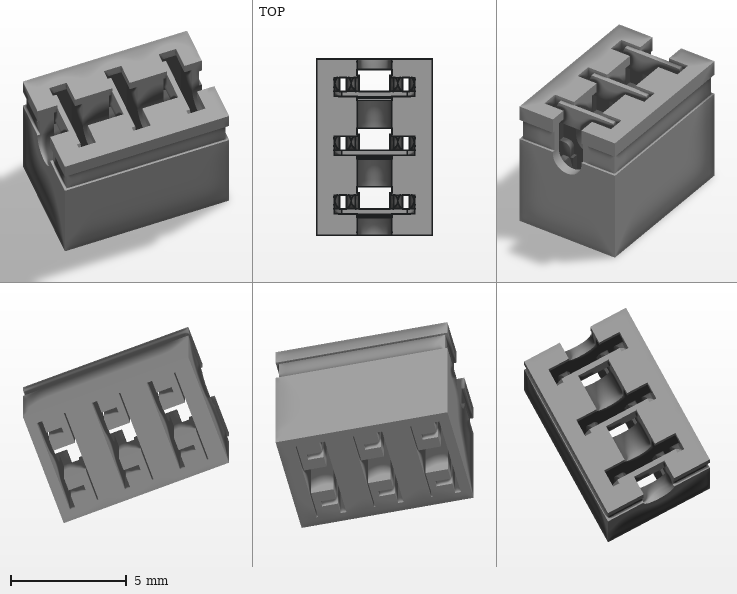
import cadquery as cq

width = 5.0
length = 7.62
height = 5.98
base_height = 4.28
flange_height = 0.7
neck_inset_x = 0.1
neck_inset_y = 0.12

slot_width = 1.49
slot_axis_z = 4.18

contact_count = 3
contact_pitch = 2.54
first_plate_back_y = 1.14

mouth_width = 3.49
mouth_front = -0.21
mouth_back = 0.595
lip_thickness = 0.45
cavity_front = -0.37
cavity_back = 0.945

fork_spacing = 2.72
fork_width = 1.395
fork_gap = 0.29
fork_depth = 0.69
contact_width = fork_spacing + fork_width
contact_clear_width = fork_spacing - fork_width

tip_z = 3.37
tip_offset = 0.35
shoulder_z = 3.215
shoulder_offset = 0.53
tine_side_z = 2.67
lead_in_depth = 0.46
crown_depth = 0.46

plate_top_z = 5.81
plate_top_width = 2.85
plate_taper_height = 1.525
plate_top_thickness = 0.23
plate_thickness = 0.305
bridge_bottom_z = 4.81

leg_top_z = 3.86
leg_spacing = 1.6
leg_corner_radius = 0.305
ledge_z = 3.19


def block(size_x, y_min, y_max, z_min, z_max):
    """Box centred on X = 0 between the given Y and Z limits."""
    size = (size_x, y_max - y_min, z_max - z_min)
    return cq.Workplane("XY", origin=(0, y_min, z_min)).box(*size, centered=(True, False, False))


def make_housing_body():
    flange_z = height - flange_height
    base = block(width, 0, length, 0, base_height)
    neck = block(width - 2 * neck_inset_x, neck_inset_y, length - neck_inset_y, base_height, flange_z)
    flange = block(width, 0, length, flange_z, height)
    return base.union(neck).union(flange)


def make_wire_slot():
    channel = block(slot_width, 0, length, slot_axis_z, height)
    floor = cq.Workplane("XZ", origin=(0, 0, slot_axis_z)).circle(slot_width / 2).extrude(-length)
    return channel.union(floor)


def make_contact_opening():
    """Narrow mouth through the top lip, over a larger cavity open at the bottom."""
    mouth = block(mouth_width, mouth_front, mouth_back, 0, height)
    cavity = block(contact_width, cavity_front, cavity_back, 0, height - lip_thickness)
    return mouth.union(cavity)


def make_plate():
    """Plate with a sloping front face, tapered upper ends and an opening under its bridge."""
    half_width = contact_width / 2
    outline = (
        cq.Workplane("XZ")
        .polyline([
            (-half_width, 0),
            (half_width, 0),
            (half_width, plate_top_z - plate_taper_height),
            (plate_top_width / 2, plate_top_z),
            (-plate_top_width / 2, plate_top_z),
            (-half_width, plate_top_z - plate_taper_height),
        ])
        .close()
        .extrude(plate_thickness)
    )
    section = (
        cq.Workplane("YZ")
        .polyline([
            (0, 0),
            (0, plate_top_z),
            (-plate_top_thickness, plate_top_z),
            (-plate_thickness, bridge_bottom_z),
            (-plate_thickness, 0),
        ])
        .close()
        .extrude(half_width, both=True)
    )
    wire_window = block(fork_spacing, -plate_thickness, 0, leg_top_z, bridge_bottom_z)
    leg_gap = block(leg_spacing, -plate_thickness, 0, ledge_z, leg_top_z)
    bottom_gap = block(contact_clear_width, -plate_thickness, 0, 0, ledge_z)
    return outline.intersect(section).cut(wire_window).cut(leg_gap).cut(bottom_gap)


def make_tine():
    """Right-hand tine of a fork: rounded towards the gap, sloped outside, crowned along Y."""
    gap_x = fork_gap / 2
    side_x = fork_width / 2
    profile = (
        cq.Workplane("XZ")
        .moveTo(gap_x, 0)
        .lineTo(gap_x, tip_z - lead_in_depth)
        .tangentArcPoint((tip_offset, tip_z), relative=False)
        .lineTo(shoulder_offset, shoulder_z)
        .lineTo(side_x, tine_side_z)
        .lineTo(side_x, 0)
        .close()
        .extrude(-fork_depth)
    )
    crown = (
        cq.Workplane("YZ")
        .lineTo(0, tip_z - crown_depth)
        .threePointArc((fork_depth / 2, tip_z), (fork_depth, tip_z - crown_depth))
        .lineTo(fork_depth, 0)
        .close()
        .extrude(side_x)
    )
    return profile.intersect(crown)


def round_leg_corners(plate):
    """Round the leg tops where they face the wire."""
    margin = 0.08
    half_size = (leg_spacing / 2 + margin, plate_thickness + margin, margin)
    corners = cq.selectors.BoxSelector(
        (-half_size[0], -half_size[1], leg_top_z - half_size[2]),
        (half_size[0], half_size[1], leg_top_z + half_size[2]),
    )
    return plate.edges("|Y").edges(corners).fillet(leg_corner_radius)


def make_contact():
    contact = round_leg_corners(make_plate())
    right_tine = make_tine()
    left_tine = right_tine.mirror("YZ")
    for fork_x in (-fork_spacing / 2, fork_spacing / 2):
        for tine in (left_tine, right_tine):
            contact = contact.union(tine.translate((fork_x, 0, 0)))
    return contact


def make_housing(contacts, plate_positions):
    """Housing with the wire slot and a fitted opening for each contact."""
    housing = make_housing_body().cut(make_wire_slot())
    opening = make_contact_opening()
    for y, contact in zip(plate_positions, contacts):
        housing = housing.cut(opening.translate((0, y, 0))).cut(contact)
    return housing


plate_positions = [first_plate_back_y + contact_pitch * i for i in range(contact_count)]
contact = make_contact()
contacts = [contact.translate((0, y, 0)) for y in plate_positions]
housing = make_housing(contacts, plate_positions)

result = cq.Compound.makeCompound([housing.val(), *[c.val() for c in contacts]])